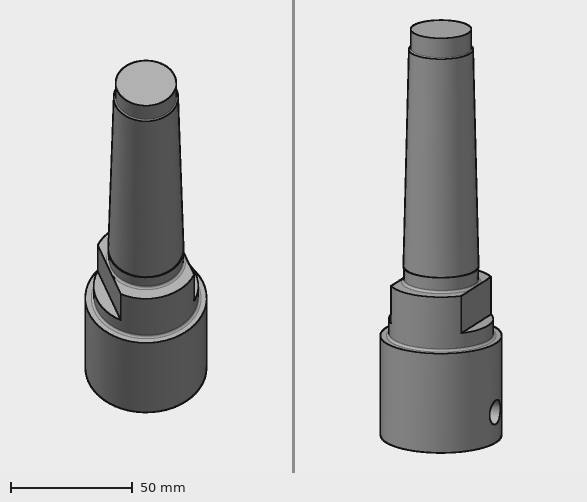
import cadquery as cq

total_height = 174.8
body_top = 42.8
flats_bottom = 50.0
collar_top = 66.0
taper_bottom = 72.5
taper_top = 166.0

body_diameter = 50.0
collar_diameter = 43.0
neck_diameter = 30.6
taper_large_diameter = 31.1
taper_small_diameter = 26.5
tip_diameter = 25.0

shoulder_fillet = 1.0
tip_fillet = 0.5

width_across_flats = 32.0

side_hole_diameter = 10.3
side_hole_height = 13.1
side_hole_depth = 10.5


def cylinder(diameter, bottom, top):
    return cq.Workplane("XY").workplane(offset=bottom).circle(diameter / 2).extrude(top - bottom)


def tapered_shank():
    return (
        cq.Workplane("XY")
        .workplane(offset=taper_bottom)
        .circle(taper_large_diameter / 2)
        .workplane(offset=taper_top - taper_bottom)
        .circle(taper_small_diameter / 2)
        .loft(ruled=True)
    )


def foot_fillet(diameter, bottom, radius):
    """Concave ring filling the corner between a cylinder and the shoulder below it."""
    inner = diameter / 2
    arc_center = (inner + radius, bottom + radius)
    arc_reach = radius * 0.5**0.5
    return (
        cq.Workplane("XZ")
        .moveTo(0, bottom)
        .lineTo(inner + radius, bottom)
        .threePointArc(
            (arc_center[0] - arc_reach, arc_center[1] - arc_reach),
            (inner, bottom + radius),
        )
        .lineTo(0, bottom + radius)
        .close()
        .revolve(360, (0, 0), (0, 1))
    )


def flat_cutter(side):
    """Block outside one wrench flat; side is +1 or -1 along Y."""
    depth = body_diameter / 2
    return (
        cq.Workplane("XY")
        .box(body_diameter, depth, taper_bottom - flats_bottom, centered=(True, True, False))
        .translate((0, side * (width_across_flats + depth) / 2, flats_bottom))
    )


def side_hole():
    return (
        cq.Workplane("XZ", origin=(0, body_diameter / 2, side_hole_height))
        .circle(side_hole_diameter / 2)
        .extrude(side_hole_depth)
    )


result = (
    cylinder(body_diameter, 0, body_top)
    .union(cylinder(collar_diameter, body_top, collar_top))
    .union(foot_fillet(collar_diameter, body_top, shoulder_fillet))
    .union(cylinder(neck_diameter, collar_top, taper_bottom))
    .union(foot_fillet(neck_diameter, collar_top, shoulder_fillet))
)

for side in (-1, 1):
    result = result.cut(flat_cutter(side))

result = (
    result.union(tapered_shank())
    .union(cylinder(tip_diameter, taper_top, total_height))
    .union(foot_fillet(tip_diameter, taper_top, tip_fillet))
)

result = result.cut(side_hole())